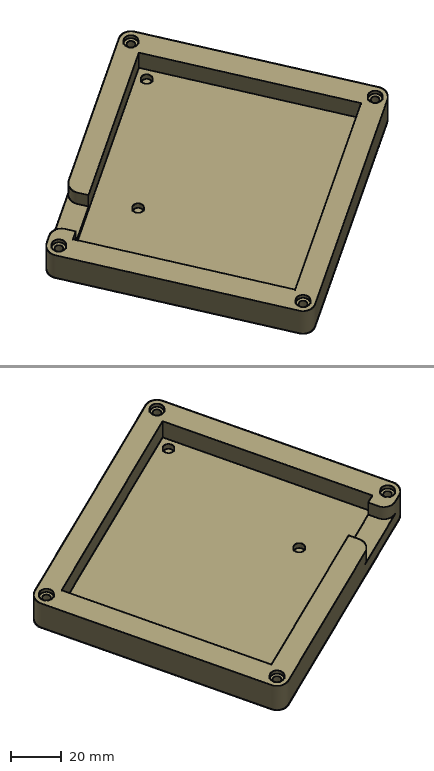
import cadquery as cq

LENGTH_X = 110.0
LENGTH_Y = 114.25
HEIGHT = 15.0
CORNER_RADIUS = 5.0

WALL = 9.5
POCKET_DEPTH = 10.0
FLOOR_Z = HEIGHT - POCKET_DEPTH

SCREW_DIAMETER = 3.4
COUNTERBORE_DIAMETER = 6.0
COUNTERBORE_DEPTH = 2.0

PEG_HOLE_DIAMETER = 4.7
PEG_HOLE_DEPTH = 3.0
PEG_HOLE_CENTRES = [(-41.0, 43.1), (-27.0, -18.8), (41.0, -43.4)]

NOTCH_WIDTH = 18.5
NOTCH_CENTRE_Y = -34.4
NOTCH_DEPTH = HEIGHT / 2
NOTCH_FLARE_RADIUS = 5.0


def tray_body():
    """Solid block with rounded vertical corners."""
    block = cq.Workplane("XY").box(LENGTH_X, LENGTH_Y, HEIGHT, centered=(True, True, False))
    return block.edges("|Z").fillet(CORNER_RADIUS)


def cut_pocket(body):
    """Sink the sharp-cornered pocket from the top face."""
    pocket = (
        cq.Workplane("XY", origin=(0, 0, FLOOR_Z))
        .rect(LENGTH_X - 2 * WALL, LENGTH_Y - 2 * WALL)
        .extrude(POCKET_DEPTH)
    )
    return body.cut(pocket)


def cut_screw_holes(body):
    """Drill a counterbored through hole at each corner."""
    return (
        body.faces(">Z")
        .workplane(centerOption="CenterOfBoundBox")
        .rect(LENGTH_X - 2 * CORNER_RADIUS, LENGTH_Y - 2 * CORNER_RADIUS, forConstruction=True)
        .vertices()
        .cboreHole(SCREW_DIAMETER, COUNTERBORE_DIAMETER, COUNTERBORE_DEPTH)
    )


def cut_peg_holes(body):
    """Drill the blind holes down from the pocket floor."""
    pegs = (
        cq.Workplane("XY", origin=(0, 0, FLOOR_Z))
        .pushPoints(PEG_HOLE_CENTRES)
        .circle(PEG_HOLE_DIAMETER / 2)
        .extrude(-PEG_HOLE_DEPTH)
    )
    return body.cut(pegs)


def cut_cable_notch(body):
    """Open the -X wall into the pocket, with rounded sides at the outer face."""
    outer_x = -LENGTH_X / 2
    inner_x = outer_x + WALL
    flare_x = outer_x + NOTCH_FLARE_RADIUS
    low_y = NOTCH_CENTRE_Y - NOTCH_WIDTH / 2
    high_y = NOTCH_CENTRE_Y + NOTCH_WIDTH / 2
    notch = (
        cq.Workplane("XY", origin=(0, 0, HEIGHT))
        .moveTo(inner_x, low_y)
        .lineTo(flare_x, low_y)
        .radiusArc((outer_x, low_y - NOTCH_FLARE_RADIUS), -NOTCH_FLARE_RADIUS)
        .lineTo(outer_x, high_y + NOTCH_FLARE_RADIUS)
        .radiusArc((flare_x, high_y), -NOTCH_FLARE_RADIUS)
        .lineTo(inner_x, high_y)
        .close()
        .extrude(-NOTCH_DEPTH)
    )
    return body.cut(notch)


result = tray_body()
result = cut_pocket(result)
result = cut_screw_holes(result)
result = cut_peg_holes(result)
result = cut_cable_notch(result)